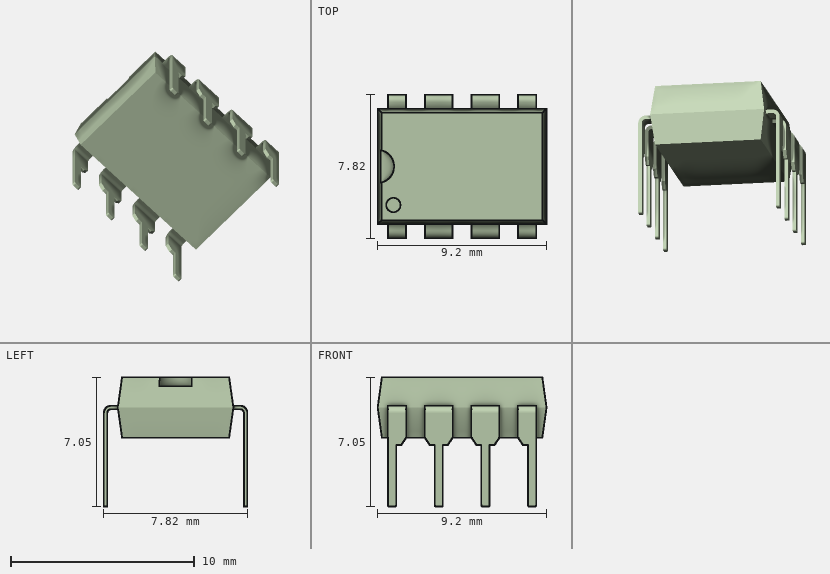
import cadquery as cq
import math

body_length = 9.2
body_width = 6.3
body_half_height = 1.65
draft_angle = 8.0

notch_radius = 0.9
notch_depth = 0.5
dimple_radius = 0.39
dimple_depth = 0.01
dimple_x = -3.74
dimple_y = -2.1

lead_span = 7.82
lead_thickness = 0.2
bend_outer_radius = 0.4
lead_pitch = 2.54
leads_per_side = 4
lead_embed = 0.5
shoulder_width = 1.52
outer_shoulder_reach = 0.77
shoulder_bottom_z = -2.05
shoulder_chamfer_x = 0.27
shoulder_chamfer_z = 0.4
leg_width = 0.46
leg_tip_z = -5.4
tip_radius = 0.1

lead_top_z = lead_thickness / 2
first_lead_x = -lead_pitch * (leads_per_side - 1) / 2


def make_body():
    halves = [
        cq.Workplane("XY")
        .rect(body_length, body_width)
        .extrude(direction * body_half_height, taper=draft_angle)
        for direction in (1, -1)
    ]
    return halves[0].union(halves[1])


def top_recess(x, y, radius, depth):
    return (
        cq.Workplane("XY", origin=(x, y, body_half_height - depth))
        .circle(radius)
        .extrude(depth)
    )


def bent_strip():
    """Side profile of the +Y leads, extruded along the whole row."""
    outer_y = lead_span / 2
    inner_y = outer_y - lead_thickness
    root_y = body_width / 2 - lead_embed
    bend_y = outer_y - bend_outer_radius
    bend_z = lead_top_z - bend_outer_radius
    bend_inner_radius = bend_outer_radius - lead_thickness
    diagonal = math.sqrt(0.5)
    return (
        cq.Workplane("YZ")
        .moveTo(root_y, lead_top_z)
        .lineTo(bend_y, lead_top_z)
        .threePointArc(
            (bend_y + bend_outer_radius * diagonal, bend_z + bend_outer_radius * diagonal),
            (outer_y, bend_z),
        )
        .lineTo(outer_y, leg_tip_z)
        .lineTo(inner_y, leg_tip_z)
        .lineTo(inner_y, bend_z)
        .threePointArc(
            (bend_y + bend_inner_radius * diagonal, bend_z + bend_inner_radius * diagonal),
            (bend_y, lead_top_z - lead_thickness),
        )
        .lineTo(root_y, lead_top_z - lead_thickness)
        .close()
        .extrude(body_length / 2, both=True)
    )


def make_shoulder(left, right, chamfer_left, chamfer_right):
    """Wide upper part of a lead, running through the full span in Y."""
    chamfer_top_z = shoulder_bottom_z + shoulder_chamfer_z
    points = [(left, lead_top_z), (right, lead_top_z)]
    if chamfer_right:
        points += [(right, chamfer_top_z), (right - shoulder_chamfer_x, shoulder_bottom_z)]
    else:
        points += [(right, shoulder_bottom_z)]
    if chamfer_left:
        points += [(left + shoulder_chamfer_x, shoulder_bottom_z), (left, chamfer_top_z)]
    else:
        points += [(left, shoulder_bottom_z)]
    return cq.Workplane("XZ").polyline(points).close().extrude(lead_span, both=True)


def lead_blank(index):
    """Front outline of one lead as a prism along Y."""
    x = first_lead_x + index * lead_pitch
    is_first = index == 0
    is_last = index == leads_per_side - 1
    left_reach = leg_width / 2 if is_first else shoulder_width / 2
    right_reach = leg_width / 2 if is_last else shoulder_width / 2
    if is_first:
        right_reach = outer_shoulder_reach
    if is_last:
        left_reach = outer_shoulder_reach
    shoulder = make_shoulder(x - left_reach, x + right_reach, not is_first, not is_last)
    leg_height = lead_top_z - leg_tip_z
    leg = (
        cq.Workplane("XY")
        .box(leg_width, 2 * lead_span, leg_height)
        .translate((x, 0, (lead_top_z + leg_tip_z) / 2))
        .edges("|Y and <Z")
        .fillet(tip_radius)
    )
    return shoulder.union(leg)


def make_part():
    part = make_body()
    part = part.cut(top_recess(-body_length / 2, 0, notch_radius, notch_depth))
    part = part.cut(top_recess(dimple_x, dimple_y, dimple_radius, dimple_depth))
    far_strip = bent_strip()
    near_strip = far_strip.mirror("XZ")
    for index in range(leads_per_side):
        blank = lead_blank(index)
        part = part.union(far_strip.intersect(blank))
        part = part.union(near_strip.intersect(blank))
    return part


result = make_part()